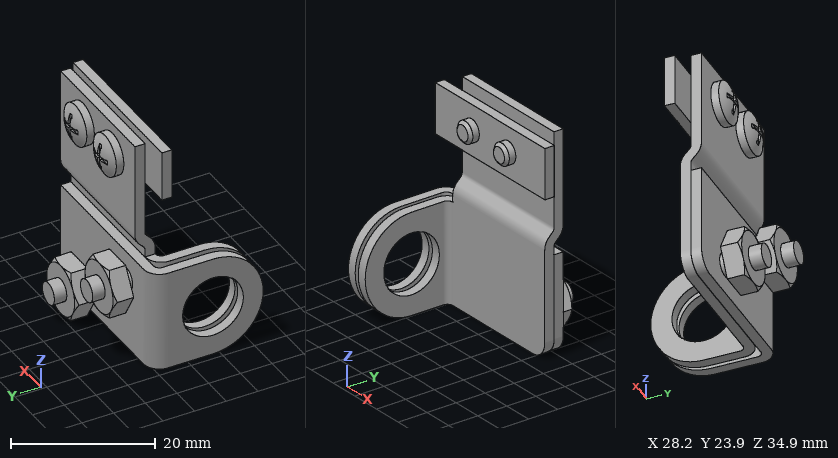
import cadquery as cq
import math


THICKNESS = 1.6
BEND_INNER = 0.9
BEND_OUTER = BEND_INNER + THICKNESS
JOGGLE_ANGLE = 45.0

PLATE_WIDTH = 21.23
PLATE_HEIGHT = 34.92
JOGGLE_Z = 18.15
CORNER_RADIUS = 2.8

EAR_RADIUS = 8.0
EAR_Y = -8.0
EAR_Z = EAR_RADIUS
EAR_HOLE_DIAMETER = 9.55
MAIN_EAR_X = -BEND_OUTER
CLAMP_EAR_X = -4.92
CLAMP_EAR_RADIUS = 7.93

BAR_OVERHANG = 2.05
BAR_LENGTH = PLATE_WIDTH + 2 * BAR_OVERHANG
BAR_HEIGHT = 7.93
BAR_BACK_Y = -1.5

SCREW_Z = 30.15
SCREW_SPACING = 8.4
SCREW_DIAMETER = 3.5
SCREW_TIP_DIAMETER = 2.55
SCREW_TIP_LENGTH = 0.5
SCREW_END_Y = -4.7
HEAD_DIAMETER = 6.5
HEAD_RIM_HEIGHT = 1.2
HEAD_CHAMFER_WIDTH = 0.17
HEAD_CHAMFER_HEIGHT = 0.07
HEAD_HEIGHT = 2.25
SLOT_WIDTH = 0.6
SLOT_DEPTH = 0.4

STUD_DIAMETER = 3.5
STUD_END_Y = 7.9
STUD_PLACES = [(2.4, 11.52), (13.35, 4.55)]
NUT_FRONT_Y = 3.0
NUT_THICKNESS = 2.95
NUT_ACROSS_FLATS = 7.95
NUT_CHAMFER_ANGLE = 30.0

SCREW_PLACES = [(PLATE_WIDTH / 2 + side * SCREW_SPACING / 2, SCREW_Z) for side in (-1, 1)]


def rod(x, z, diameter, back_y, front_y):
    """Cylinder along Y between two Y positions."""
    return (
        cq.Workplane("XZ", origin=(x, back_y, z))
        .circle(diameter / 2)
        .extrude(back_y - front_y)
    )


def drill(body, places, diameter):
    """Cut holes along Y right through a body."""
    for x, z in places:
        body = body.cut(rod(x, z, diameter, PLATE_HEIGHT, -PLATE_HEIGHT))
    return body


def make_ear(x, back_y, radius):
    """Flange across X, with a round front end and a hole."""
    return (
        cq.Workplane("YZ", origin=(x, 0, EAR_Z))
        .moveTo(back_y, -radius)
        .lineTo(EAR_Y, -radius)
        .threePointArc((EAR_Y - radius, 0), (EAR_Y, radius))
        .lineTo(back_y, radius)
        .close()
        .extrude(THICKNESS)
        .cut(
            cq.Workplane("YZ", origin=(x, EAR_Y, EAR_Z))
            .circle(EAR_HOLE_DIAMETER / 2)
            .extrude(THICKNESS)
        )
    )


def angle_bracket(ear_x, back_y, radius):
    """Flat plate along X, bent forward at its left end into an ear."""
    height = 2 * radius
    bottom = EAR_Z - radius
    front_y = back_y - THICKNESS
    bend_x = ear_x + BEND_OUTER
    bend_y = back_y - BEND_OUTER
    plate = (
        cq.Workplane("XY", origin=(bend_x, front_y, bottom))
        .box(PLATE_WIDTH - bend_x, THICKNESS, height, centered=False)
        .edges("|Y and >X and <Z")
        .fillet(CORNER_RADIUS)
    )
    diagonal = math.sqrt(0.5)
    bend = (
        cq.Workplane("XY", origin=(bend_x, bend_y, bottom))
        .moveTo(0, BEND_OUTER)
        .threePointArc((-BEND_OUTER * diagonal, BEND_OUTER * diagonal), (-BEND_OUTER, 0))
        .lineTo(-BEND_INNER, 0)
        .threePointArc((-BEND_INNER * diagonal, BEND_INNER * diagonal), (0, BEND_INNER))
        .close()
        .extrude(height)
    )
    ear = make_ear(ear_x, bend_y, radius)
    return plate.union(bend).union(ear)


def joggled_plate():
    """Upper plate that steps back by one thickness through two bends."""
    miter = THICKNESS * math.tan(math.radians(JOGGLE_ANGLE / 2))
    rise = THICKNESS / math.tan(math.radians(JOGGLE_ANGLE))
    start_z = EAR_Z
    front_low = (-THICKNESS, JOGGLE_Z)
    front_high = (0, JOGGLE_Z + rise)
    back_low = (0, JOGGLE_Z - miter)
    back_high = (THICKNESS, JOGGLE_Z + rise - miter)
    plate = (
        cq.Workplane("YZ")
        .polyline([
            (-THICKNESS, start_z),
            front_low,
            front_high,
            (0, PLATE_HEIGHT),
            (THICKNESS, PLATE_HEIGHT),
            back_high,
            back_low,
            (0, start_z),
        ])
        .close()
        .extrude(PLATE_WIDTH)
    )
    bends = [
        (front_low, BEND_OUTER),
        (back_high, BEND_OUTER),
        (front_high, BEND_INNER),
        (back_low, BEND_INNER),
    ]
    for (y, z), radius in bends:
        corner = cq.selectors.NearestToPointSelector((PLATE_WIDTH / 2, y, z))
        plate = plate.edges(corner).fillet(radius)
    return plate


def make_main_bracket():
    """Bracket with an ear, a joggled upper plate and two fixed studs on its back."""
    bracket = angle_bracket(MAIN_EAR_X, 0, EAR_RADIUS).union(joggled_plate())
    bracket = drill(bracket, SCREW_PLACES, SCREW_DIAMETER)
    for x, z in STUD_PLACES:
        bracket = bracket.union(rod(x, z, STUD_DIAMETER, STUD_END_Y, 0))
    return bracket


def make_clamp_bracket():
    """Loose angle bracket that lies on the back of the main bracket, over the studs."""
    bracket = angle_bracket(CLAMP_EAR_X, THICKNESS, CLAMP_EAR_RADIUS)
    return drill(bracket, STUD_PLACES, STUD_DIAMETER)


def make_bar():
    """Flat bar held in front of the upper plate by the screws."""
    bar = cq.Workplane("XY").box(BAR_LENGTH, THICKNESS, BAR_HEIGHT).translate(
        (PLATE_WIDTH / 2, BAR_BACK_Y - THICKNESS / 2, SCREW_Z)
    )
    return drill(bar, SCREW_PLACES, SCREW_DIAMETER)


def make_screw(x, z):
    """Screw with a chamfered, domed and cross-slotted head at the back and a tapered tip in front."""
    head_radius = HEAD_DIAMETER / 2
    rim_y = THICKNESS + HEAD_RIM_HEIGHT
    top_y = THICKNESS + HEAD_HEIGHT
    dome_base_radius = head_radius - HEAD_CHAMFER_WIDTH
    dome_base_y = rim_y + HEAD_CHAMFER_HEIGHT
    dome_height = top_y - dome_base_y
    dome_radius = (dome_base_radius ** 2 + dome_height ** 2) / (2 * dome_height)
    dome_centre_y = top_y - dome_radius
    mid_angle = math.asin(dome_base_radius / dome_radius) / 2
    dome_middle = (
        dome_radius * math.sin(mid_angle),
        dome_centre_y + dome_radius * math.cos(mid_angle),
    )
    screw = (
        cq.Workplane("XY")
        .moveTo(0, SCREW_END_Y)
        .lineTo(SCREW_TIP_DIAMETER / 2, SCREW_END_Y)
        .lineTo(SCREW_DIAMETER / 2, SCREW_END_Y + SCREW_TIP_LENGTH)
        .lineTo(SCREW_DIAMETER / 2, THICKNESS)
        .lineTo(head_radius, THICKNESS)
        .lineTo(head_radius, rim_y)
        .lineTo(dome_base_radius, dome_base_y)
        .threePointArc(dome_middle, (0, top_y))
        .close()
        .revolve(360, (0, 0, 0), (0, 1, 0))
    )
    slot_y = top_y - SLOT_DEPTH / 2
    for length_x, length_z in [(HEAD_DIAMETER, SLOT_WIDTH), (SLOT_WIDTH, HEAD_DIAMETER)]:
        slot = cq.Workplane("XY").box(length_x, SLOT_DEPTH, length_z).translate((0, slot_y, 0))
        screw = screw.cut(slot)
    return screw.translate((x, 0, z))


def make_nut(x, z):
    """Hexagon nut with level top and bottom flats and chamfered corners at its back end."""
    across_corners = NUT_ACROSS_FLATS / math.cos(math.radians(30))
    back_y = NUT_FRONT_Y + NUT_THICKNESS
    chamfer_width = (across_corners - NUT_ACROSS_FLATS) / 2
    chamfer_depth = chamfer_width * math.tan(math.radians(NUT_CHAMFER_ANGLE))
    hexagon = (
        cq.Workplane("XZ", origin=(x, back_y, z))
        .polygon(6, across_corners)
        .extrude(NUT_THICKNESS)
    )
    envelope = (
        rod(x, z, across_corners, back_y, NUT_FRONT_Y)
        .faces(">Y")
        .chamfer(chamfer_depth, chamfer_width)
    )
    return drill(hexagon.intersect(envelope), [(x, z)], STUD_DIAMETER)


main_bracket = make_main_bracket()
clamp_bracket = make_clamp_bracket()
bar = make_bar()
screws = [make_screw(x, z) for x, z in SCREW_PLACES]
nuts = [make_nut(x, z) for x, z in STUD_PLACES]

result = cq.Compound.makeCompound([
    main_bracket.val(),
    clamp_bracket.val(),
    bar.val(),
    *[screw.val() for screw in screws],
    *[nut.val() for nut in nuts],
])